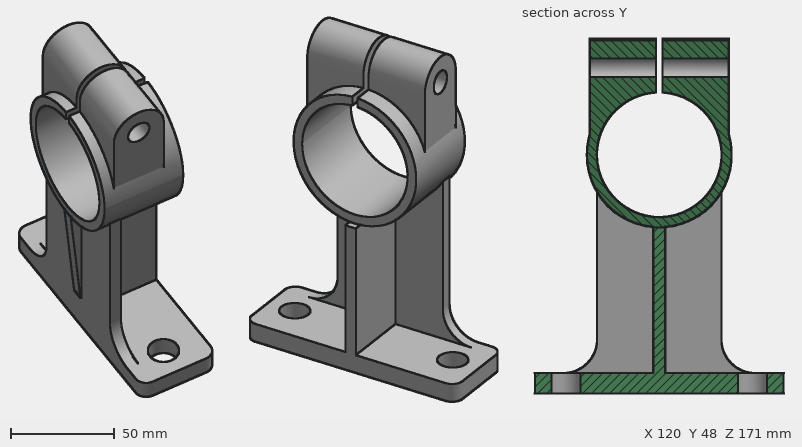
import cadquery as cq

TOTAL_HEIGHT = 171.0

BASE_WIDTH = 120.0
BASE_DEPTH = 42.0
BASE_THICKNESS = 10.0
BASE_CORNER_RADIUS = 6.0
BASE_HOLE_DIAMETER = 15.0
BASE_HOLE_SPACING = 90.0
WEB_THICKNESS = 6.2
WEB_FILLET_RADIUS = 16.0
RIB_WIDTH = 6.0
FRONT_RIB_BOTTOM = 20.0
FRONT_RIB_TOE = 0.5

BORE_DIAMETER = 60.0
RING_DIAMETER = 70.0
RING_LENGTH = 44.1
RING_OVERHANG = 6.0
RING_CENTER_Z = 115.0
EAR_SPAN = 67.0
EAR_DEPTH = 28.0
EAR_HOLE_DIAMETER = 12.0
SPLIT_WIDTH = 2.9

WEB_WIDTH = BORE_DIAMETER
RING_BOTTOM = RING_CENTER_Z - RING_DIAMETER / 2
EAR_RADIUS = EAR_DEPTH / 2
EAR_CENTER_Z = TOTAL_HEIGHT - EAR_RADIUS


def ring_cylinder(diameter):
    """Cylinder on the ring axis, as long as the ring."""
    return (
        cq.Workplane("XZ", origin=(0, -RING_OVERHANG, RING_CENTER_Z))
        .circle(diameter / 2)
        .extrude(-RING_LENGTH)
    )


def make_base():
    return (
        cq.Workplane("XY", origin=(0, BASE_DEPTH / 2, 0))
        .rect(BASE_WIDTH, BASE_DEPTH)
        .extrude(BASE_THICKNESS)
        .edges("|Z")
        .fillet(BASE_CORNER_RADIUS)
    )


def make_web():
    """Upright plate that flares into the base through concave fillets."""
    half_width = WEB_WIDTH / 2
    flare_x = half_width + WEB_FILLET_RADIUS
    flare_z = BASE_THICKNESS + WEB_FILLET_RADIUS
    return (
        cq.Workplane("XZ")
        .moveTo(-flare_x, BASE_THICKNESS)
        .lineTo(flare_x, BASE_THICKNESS)
        .radiusArc((half_width, flare_z), WEB_FILLET_RADIUS)
        .lineTo(half_width, RING_CENTER_Z)
        .lineTo(-half_width, RING_CENTER_Z)
        .lineTo(-half_width, flare_z)
        .radiusArc((-flare_x, BASE_THICKNESS), WEB_FILLET_RADIUS)
        .close()
        .extrude(-WEB_THICKNESS)
    )


def make_ribs():
    """Tapered front rib and full-depth back rib, in one side profile.

    Under the ring the profile rises past the seat, so that the saddle cut shapes its top.
    """
    ring_back = RING_LENGTH - RING_OVERHANG
    return (
        cq.Workplane("YZ", origin=(-RIB_WIDTH / 2, 0, 0))
        .moveTo(0, FRONT_RIB_BOTTOM)
        .lineTo(-FRONT_RIB_TOE, FRONT_RIB_BOTTOM)
        .lineTo(-RING_OVERHANG, RING_BOTTOM)
        .lineTo(-RING_OVERHANG, RING_CENTER_Z)
        .lineTo(ring_back, RING_CENTER_Z)
        .lineTo(ring_back, RING_BOTTOM)
        .lineTo(BASE_DEPTH, RING_BOTTOM)
        .lineTo(BASE_DEPTH, BASE_THICKNESS)
        .lineTo(0, BASE_THICKNESS)
        .close()
        .extrude(RIB_WIDTH)
    )


def make_stand():
    base_holes = (
        cq.Workplane("XY", origin=(0, BASE_DEPTH / 2, 0))
        .rarray(BASE_HOLE_SPACING, 1.7, 2, 1)
        .circle(BASE_HOLE_DIAMETER / 2)
        .extrude(BASE_THICKNESS)
    )
    saddle = ring_cylinder(RING_DIAMETER)
    return make_base().union(make_web()).union(make_ribs()).cut(base_holes).cut(saddle)


def make_ears():
    """Round-topped block over the ring, flush with the front of the base."""
    return (
        cq.Workplane("YZ", origin=(-EAR_SPAN / 2, 0, 0))
        .moveTo(0, RING_CENTER_Z)
        .lineTo(0, EAR_CENTER_Z)
        .threePointArc((EAR_RADIUS, TOTAL_HEIGHT), (EAR_DEPTH, EAR_CENTER_Z))
        .lineTo(EAR_DEPTH, RING_CENTER_Z)
        .close()
        .extrude(EAR_SPAN)
    )


def make_clamp():
    ear_hole = (
        cq.Workplane("YZ", origin=(-EAR_SPAN / 2, EAR_RADIUS, EAR_CENTER_Z))
        .circle(EAR_HOLE_DIAMETER / 2)
        .extrude(EAR_SPAN)
    )
    split = cq.Workplane("XY", origin=(0, -RING_OVERHANG, RING_CENTER_Z)).box(
        SPLIT_WIDTH, RING_LENGTH, TOTAL_HEIGHT - RING_CENTER_Z, centered=(True, False, False)
    )
    ring = ring_cylinder(RING_DIAMETER)
    bore = ring_cylinder(BORE_DIAMETER)
    return ring.union(make_ears()).cut(bore).cut(ear_hole).cut(split)


stand = make_stand()
clamp = make_clamp()
result = cq.Compound.makeCompound([stand.val(), clamp.val()])